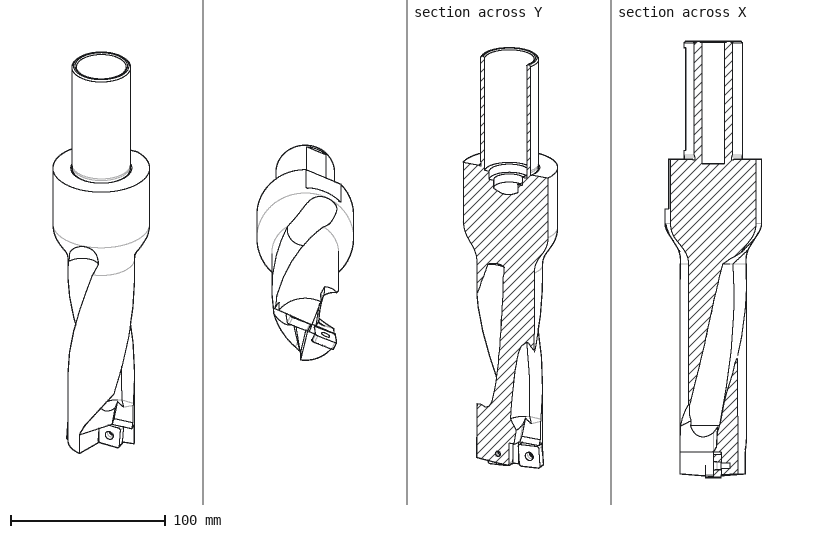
import cadquery as cq
import math

LENGTH = 282.0

SHANK_DIA = 38.0
SHANK_CHAMFER = 1.0
SHANK_FLAT_Y = 17.8
SHANK_FLAT_BOTTOM = 211.5
SHANK_FLAT_TOP = 277.7

UNDERCUT_NECK_DIA = 37.5
UNDERCUT_RIM_DIA = 39.5
UNDERCUT_HEIGHT = 2.8
UNDERCUT_DEPTH = 0.5

BORE_STEPS = [(32.1, 203.0), (26.0, 197.5), (20.0, 191.7)]
BORE_CHAMFER = 0.8
BORE_CONE_HEIGHT = 5.5

COLLAR_DIA = 62.5
COLLAR_TOP = 205.8
COLLAR_BOTTOM = 164.5
COLLAR_FLAT_Y = 28.8
COLLAR_FLAT_BOTTOM = 173.7

DRILL_DIA = 43.1
DRILL_TOP = 138.2
END_RIM_Z = 2.5
END_CENTRE_Z = 0.8

FLUTE_TURN_PER_UNIT = 0.8689
FLUTE_TOP_ANGLE = 247.5
FLUTE_BOTTOM = 33.8
FLUTE_LEADING_LIP = (18.3, -11.8)
FLUTE_FLOOR = (5.0, 0.0)
FLUTE_CREASE = (10.2, 8.7)
FLUTE_TRAILING_LIP = (18.3, 11.3)
FLUTE_OUTER_DISTANCE = 25.5

TOP_RUNOUT = (13.5, -36.0, 33.8)
BOTTOM_RUNOUT = (-6.8, 5.0, -14.0)

INSERT_SIZE = 15.0
INSERT_THICKNESS = 5.0
INSERT_CORNER = 1.5
INSERT_TILT = 4.0
INSERT_HOLE_DIA = 4.8
INSERT_SINK_DIA = 5.5
SCREW_HOLE_DIA = 3.5
SCREW_HOLE_DEPTH = 5.5
INNER_INSERT_X = 5.5
OUTER_INSERT_X = 14.5

TILT_SUM = math.cos(math.radians(INSERT_TILT)) + math.sin(math.radians(INSERT_TILT))
INSERT_Z = (INSERT_SIZE / 2 - INSERT_CORNER) * TILT_SUM + INSERT_CORNER

INNER_WALL_X = -1.7
INNER_MOUTH_X = -6.2
OUTER_SEAT_X = 6.8
OUTER_WALL_X = 2.8
OUTER_MOUTH_X = 1.5
POCKET_SEAT_TOP = 16.5
POCKET_STEP_TOP = 20.0
POCKET_STEP_DEPTH = 2.0
POCKET_PEAK_DEPTH = 4.0
POCKET_CORNER_X = 7.5
POCKET_CORNER_LEAN = 0.17
POCKET_KINK = (-2.5, 24.0)
POCKET_PEAK = (18.0, 52.2)

REACH = 39.5
BELOW = -2.8


def half_turn(solid):
    """The same solid on the opposite side of the drill axis."""
    return solid.rotate((0, 0, 0), (0, 0, 1), 180)


def turned_blank():
    """Revolved drill, collar and shank without the bore."""
    drill_r = DRILL_DIA / 2
    collar_r = COLLAR_DIA / 2
    shank_r = SHANK_DIA / 2
    mid_r = (drill_r + collar_r) / 2
    mid_z = (DRILL_TOP + COLLAR_BOTTOM) / 2
    return (
        cq.Workplane("XZ")
        .moveTo(0, END_CENTRE_Z)
        .lineTo(drill_r, END_RIM_Z)
        .lineTo(drill_r, DRILL_TOP)
        .spline(
            [(mid_r, mid_z), (collar_r, COLLAR_BOTTOM)],
            tangents=[(0, 1), (0, 1)],
            includeCurrent=True,
        )
        .lineTo(collar_r, COLLAR_TOP)
        .lineTo(UNDERCUT_RIM_DIA / 2, COLLAR_TOP)
        .lineTo(UNDERCUT_NECK_DIA / 2, COLLAR_TOP - UNDERCUT_DEPTH)
        .lineTo(UNDERCUT_NECK_DIA / 2, COLLAR_TOP + UNDERCUT_HEIGHT / 2)
        .lineTo(shank_r, COLLAR_TOP + UNDERCUT_HEIGHT)
        .lineTo(shank_r, LENGTH - SHANK_CHAMFER)
        .lineTo(shank_r - SHANK_CHAMFER, LENGTH)
        .lineTo(0, LENGTH)
        .close()
        .revolve(360, (0, 0, 0), (0, 1, 0))
    )


def bore():
    """Stepped bore with a chamfered mouth and a conical floor."""
    mouth_r = BORE_STEPS[0][0] / 2
    points = [(0, LENGTH), (mouth_r + BORE_CHAMFER, LENGTH)]
    top = LENGTH - BORE_CHAMFER
    for diameter, floor in BORE_STEPS:
        points += [(diameter / 2, top), (diameter / 2, floor)]
        top = floor
    points.append((0, top - BORE_CONE_HEIGHT))
    return cq.Workplane("XZ").polyline(points).close().revolve(360, (0, 0, 0), (0, 1, 0))


def side_flat(y, bottom, top):
    """Block that cuts a flat on the +Y side."""
    block = cq.Workplane("XY").box(2 * REACH, REACH, top - bottom, centered=(True, False, False))
    return block.translate((0, y, bottom))


def flute_section(angle):
    """Flute section that opens in the given direction."""
    return (
        cq.Workplane("XY")
        .transformed(rotate=(0, 0, angle))
        .moveTo(FLUTE_OUTER_DISTANCE, FLUTE_LEADING_LIP[1])
        .lineTo(*FLUTE_LEADING_LIP)
        .threePointArc(FLUTE_FLOOR, FLUTE_CREASE)
        .lineTo(*FLUTE_TRAILING_LIP)
        .lineTo(FLUTE_OUTER_DISTANCE, FLUTE_TRAILING_LIP[1])
        .close()
    )


def runout(angle, z, travel):
    """Straight channel that carries the flute section out of the drill."""
    section = flute_section(angle).wires().val().translate(cq.Vector(0, 0, z))
    return cq.Workplane(cq.Solid.extrudeLinear(section, [], cq.Vector(*travel)))


def flute_cutters():
    """First flute: a helical channel with a run-out at each end."""
    height = DRILL_TOP - FLUTE_BOTTOM
    turn = FLUTE_TURN_PER_UNIT * height
    bottom_angle = FLUTE_TOP_ANGLE - turn
    helix = flute_section(bottom_angle).twistExtrude(height, turn).translate((0, 0, FLUTE_BOTTOM))
    return [
        helix,
        runout(FLUTE_TOP_ANGLE, DRILL_TOP, TOP_RUNOUT),
        runout(bottom_angle, FLUTE_BOTTOM, BOTTOM_RUNOUT),
    ]


def upper_pocket(mouth_x, edge):
    """Clearance above an insert; edge lists the XZ points of its slanted upper edge."""
    peak_z = POCKET_PEAK[1]
    height = peak_z - POCKET_SEAT_TOP
    outline = (
        cq.Workplane("XZ", origin=(0, REACH, 0))
        .polyline([(mouth_x, POCKET_SEAT_TOP), *edge, (REACH, peak_z), (REACH, POCKET_SEAT_TOP)])
        .close()
        .extrude(2 * REACH)
    )
    back = (
        cq.Workplane("YZ", origin=(-REACH, 0, 0))
        .polyline([
            (0, POCKET_SEAT_TOP), (POCKET_STEP_DEPTH, POCKET_STEP_TOP),
            (POCKET_PEAK_DEPTH, peak_z), (-REACH, peak_z), (-REACH, POCKET_SEAT_TOP),
        ])
        .close()
        .extrude(2 * REACH)
    )
    side_wall = (
        cq.Workplane("XY", origin=(0, 0, POCKET_SEAT_TOP))
        .polyline([
            (mouth_x, -DRILL_DIA / 2), (POCKET_CORNER_X, 0), (POCKET_CORNER_X, REACH),
            (REACH, REACH), (REACH, -DRILL_DIA / 2),
        ])
        .close()
        .wires()
        .val()
    )
    sweep = cq.Vector(POCKET_CORNER_LEAN * height, 0, height)
    return outline.intersect(back).intersect(cq.Workplane(cq.Solid.extrudeLinear(side_wall, [], sweep)))


def lower_pocket(inner_edge):
    """Clearance beside an insert; inner_edge lists its XY points from the seat to the mouth."""
    return (
        cq.Workplane("XY", origin=(0, 0, BELOW))
        .polyline([*inner_edge, (REACH, -DRILL_DIA / 2), (REACH, INSERT_THICKNESS)])
        .close()
        .extrude(POCKET_SEAT_TOP - BELOW)
    )


def inner_pocket_cutters():
    """Pocket whose side wall turns at a kink into the slanted edge."""
    mouth = (INNER_MOUTH_X, -DRILL_DIA / 2)
    inner_edge = [(INNER_WALL_X, INSERT_THICKNESS), (INNER_WALL_X, 0), mouth]
    return [lower_pocket(inner_edge), upper_pocket(INNER_MOUTH_X, [POCKET_KINK, POCKET_PEAK])]


def outer_pocket_cutters():
    """Like the inner pocket, but its side wall runs straight up to the slanted edge."""
    mouth = (OUTER_MOUTH_X, -DRILL_DIA / 2)
    inner_edge = [(OUTER_SEAT_X, INSERT_THICKNESS), (OUTER_SEAT_X, 0), (OUTER_WALL_X, 0), mouth]
    slope = (POCKET_PEAK[1] - POCKET_KINK[1]) / (POCKET_PEAK[0] - POCKET_KINK[0])
    turn = (OUTER_MOUTH_X, POCKET_KINK[1] + slope * (OUTER_MOUTH_X - POCKET_KINK[0]))
    return [lower_pocket(inner_edge), upper_pocket(OUTER_MOUTH_X, [turn, POCKET_PEAK])]


def insert_blank(x, tilt):
    """Tilted square insert without its hole; its face looks to -Y at y = 0."""
    return (
        cq.Workplane("XZ")
        .rect(INSERT_SIZE, INSERT_SIZE)
        .extrude(-INSERT_THICKNESS)
        .edges("|Y")
        .fillet(INSERT_CORNER)
        .rotate((0, 0, 0), (0, 1, 0), tilt)
        .translate((x, 0, INSERT_Z))
    )


def insert(x, tilt):
    """Insert with its countersunk screw hole."""
    hole = cq.Workplane("XZ", origin=(x, 0, INSERT_Z)).circle(INSERT_HOLE_DIA / 2).extrude(-INSERT_THICKNESS)
    sink_depth = INSERT_THICKNESS / 2
    sink = (
        cq.Workplane("XZ", origin=(x, 0, INSERT_Z))
        .circle(INSERT_SINK_DIA / 2)
        .workplane(offset=-sink_depth)
        .circle(INSERT_HOLE_DIA / 2)
        .loft(ruled=True)
    )
    return insert_blank(x, tilt).cut(hole).cut(sink)


def screw_hole(x):
    """Blind hole in the seat behind an insert."""
    return (
        cq.Workplane("XZ", origin=(x, INSERT_THICKNESS, INSERT_Z))
        .circle(SCREW_HOLE_DIA / 2)
        .extrude(-SCREW_HOLE_DEPTH)
    )


def drill_body():
    """Drill, collar and shank in one piece, with flats, flutes and insert pockets."""
    body = turned_blank().cut(bore())
    body = body.cut(side_flat(SHANK_FLAT_Y, SHANK_FLAT_BOTTOM, SHANK_FLAT_TOP))
    body = body.cut(side_flat(COLLAR_FLAT_Y, COLLAR_FLAT_BOTTOM, COLLAR_TOP))
    for cutter in flute_cutters():
        body = body.cut(cutter).cut(half_turn(cutter))
    inner_seat = [insert_blank(INNER_INSERT_X, INSERT_TILT), screw_hole(INNER_INSERT_X)]
    outer_seat = [insert_blank(OUTER_INSERT_X, -INSERT_TILT), screw_hole(OUTER_INSERT_X)]
    for cutter in [*inner_pocket_cutters(), *inner_seat]:
        body = body.cut(cutter)
    for cutter in [*outer_pocket_cutters(), *outer_seat]:
        body = body.cut(half_turn(cutter))
    return body


body = drill_body()

INSERT_PLACES = [(INNER_INSERT_X, INSERT_TILT, 0), (OUTER_INSERT_X, -INSERT_TILT, 180)]
inserts = []
for x, tilt, turn in INSERT_PLACES:
    inserts.append(insert(x, tilt).rotate((0, 0, 0), (0, 0, 1), turn).val())

result = cq.Compound.makeCompound([body.val(), *inserts])